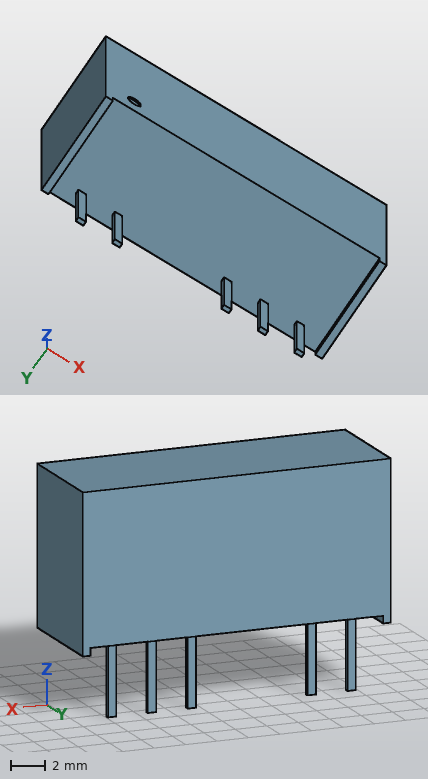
import cadquery as cq

length = 19.6
width = 7.0
total_height = 14.1
case_height = 10.0

foot_length = 0.49
foot_height = 0.47

pin_width = 0.53
pin_thickness = 0.3
pin_row_length = 15.25
first_pin_offset = 2.18
pin_back_offset = 0.9
pin_slots = (0, 1, 4, 5, 6)
pin_pitch = pin_row_length / pin_slots[-1]
pin_drop = total_height - case_height

mark_diameter = 0.9
mark_depth = 0.1
mark_end_offset = 2.0
mark_height = 2.0


def make_case():
    case = cq.Workplane("XY").box(length, width, case_height, centered=(True, True, False))
    channel = cq.Workplane("XY").box(
        length - 2 * foot_length, width, foot_height, centered=(True, True, False)
    )
    return case.cut(channel)


def make_mark():
    return (
        cq.Workplane("XZ", origin=(0, -width / 2, 0))
        .center(mark_end_offset - length / 2, mark_height)
        .circle(mark_diameter / 2)
        .extrude(-mark_depth)
    )


def make_pin(slot):
    x = first_pin_offset - length / 2 + slot * pin_pitch
    y = width / 2 - pin_back_offset
    return (
        cq.Workplane("XY", origin=(x, y, -pin_drop))
        .rect(pin_width, pin_thickness)
        .extrude(pin_drop + foot_height)
    )


result = make_case().cut(make_mark())
for slot in pin_slots:
    result = result.union(make_pin(slot))